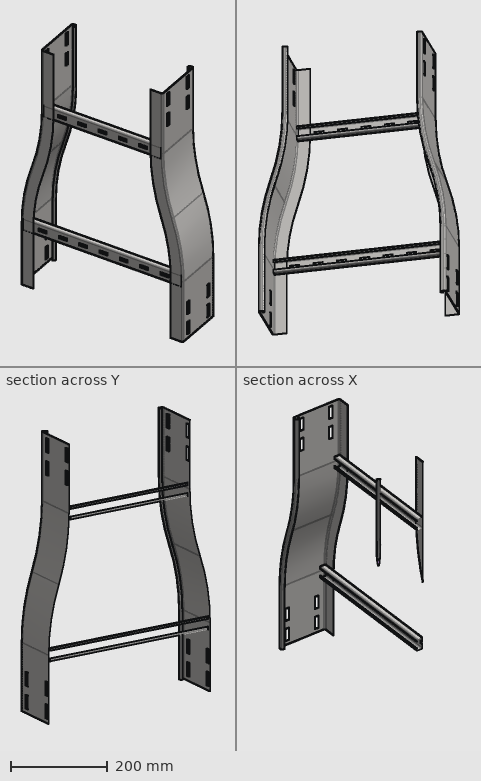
import cadquery as cq
import math


LENGTH = 600.0
DEPTH = 120.0
STRAIGHT = LENGTH / 4
OUTER_HALF_WIDTH_WIDE = LENGTH / 3
OUTER_HALF_WIDTH_NARROW = LENGTH / 4

SHEET = 2.0
RAIL_BEND = 4.0
FRONT_FLANGE = 30.5
BACK_FLANGE = 12.0
LIP = 10.0
LIP_RETURN = 5.0
LIP_BEND = 4.0

WEB_SLOT_WIDTH = 9.0
WEB_SLOT_LENGTH = 30.0
WEB_SLOT_Y = LENGTH / 16
WEB_SLOT_END_DISTANCES = (LENGTH / 24, LENGTH / 8)

RUNG_HEIGHT = 30.0
RUNG_SHEET = 1.5
RUNG_DEPTH = 15.0
RUNG_LIP = 6.5
RUNG_BEND = 2.1
RUNG_END_GAP = 5.5
RUNG_SLOT_LENGTH = 20.0
RUNG_SLOT_WIDTH = 6.0
RUNG_SLOT_PITCH = LENGTH / 12
WIDE_RUNG_SLOTS = 7
WIDE_RUNG_SLOT_SHIFT = 2.5
NARROW_RUNG_SLOTS = 5

FRONT = -DEPTH / 2
BACK = DEPTH / 2


def rail_path():
    """S-shaped line along the outer face of the left web, from bottom to top."""
    bottom = -OUTER_HALF_WIDTH_WIDE
    top = -OUTER_HALF_WIDTH_NARROW
    middle = (bottom + top) / 2
    half_rise = LENGTH / 2 - STRAIGHT
    half_shift = (top - bottom) / 2
    radius = (half_rise**2 + half_shift**2) / (2 * half_shift)
    half_angle = math.asin(half_rise / radius) / 2
    mid_shift = radius * (1 - math.cos(half_angle))
    mid_rise = radius * math.sin(half_angle)
    return (
        cq.Workplane("XZ")
        .moveTo(bottom, 0)
        .lineTo(bottom, STRAIGHT)
        .threePointArc((bottom + mid_shift, STRAIGHT + mid_rise), (middle, LENGTH / 2))
        .threePointArc((top - mid_shift, LENGTH - STRAIGHT - mid_rise), (top, LENGTH - STRAIGHT))
        .lineTo(top, LENGTH)
    )


def rail_section():
    """Channel section of the left rail at its bottom end, with rounded bends."""
    web = -OUTER_HALF_WIDTH_WIDE
    front_edge = web + FRONT_FLANGE
    back_edge = web + BACK_FLANGE
    lip_end = BACK - LIP
    rail_inner = RAIL_BEND - SHEET
    lip_inner = LIP_BEND - SHEET
    return (
        cq.Workplane("XY")
        .moveTo(front_edge, FRONT)
        .lineTo(web + RAIL_BEND, FRONT)
        .radiusArc((web, FRONT + RAIL_BEND), RAIL_BEND)
        .lineTo(web, BACK - RAIL_BEND)
        .radiusArc((web + RAIL_BEND, BACK), RAIL_BEND)
        .lineTo(back_edge - LIP_BEND, BACK)
        .radiusArc((back_edge, BACK - LIP_BEND), LIP_BEND)
        .lineTo(back_edge, lip_end + LIP_BEND)
        .radiusArc((back_edge - LIP_BEND, lip_end), LIP_BEND)
        .lineTo(back_edge - LIP_RETURN, lip_end)
        .lineTo(back_edge - LIP_RETURN, lip_end + SHEET)
        .lineTo(back_edge - LIP_BEND, lip_end + SHEET)
        .radiusArc((back_edge - SHEET, lip_end + LIP_BEND), -lip_inner)
        .lineTo(back_edge - SHEET, BACK - LIP_BEND)
        .radiusArc((back_edge - LIP_BEND, BACK - SHEET), -lip_inner)
        .lineTo(web + RAIL_BEND, BACK - SHEET)
        .radiusArc((web + SHEET, BACK - RAIL_BEND), -rail_inner)
        .lineTo(web + SHEET, FRONT + RAIL_BEND)
        .radiusArc((web + RAIL_BEND, FRONT + SHEET), -rail_inner)
        .lineTo(front_edge, FRONT + SHEET)
        .close()
    )


def web_slot_cutters():
    """Bars along X for the slots near both ends of a web."""
    heights = [*WEB_SLOT_END_DISTANCES, *(LENGTH - distance for distance in WEB_SLOT_END_DISTANCES)]
    places = [(y, z) for y in (-WEB_SLOT_Y, WEB_SLOT_Y) for z in heights]
    return (
        cq.Workplane("YZ")
        .pushPoints(places)
        .rect(WEB_SLOT_WIDTH, WEB_SLOT_LENGTH)
        .extrude(OUTER_HALF_WIDTH_WIDE, both=True)
    )


def make_left_rail():
    return rail_section().sweep(rail_path()).cut(web_slot_cutters())


def make_rung(outer_half_width, height, slot_count, slot_shift):
    """Lipped channel along X, open to the back, with a row of slots in its front wall."""
    half_length = outer_half_width - RUNG_END_GAP
    front = FRONT + SHEET
    middle_y = front + RUNG_DEPTH / 2
    outside = (
        cq.Workplane("XY")
        .box(2 * half_length, RUNG_DEPTH, RUNG_HEIGHT)
        .edges("|X")
        .fillet(RUNG_BEND)
    )
    inside = (
        cq.Workplane("XY")
        .box(2 * half_length, RUNG_DEPTH - 2 * RUNG_SHEET, RUNG_HEIGHT - 2 * RUNG_SHEET)
        .edges("|X")
        .fillet(RUNG_BEND - RUNG_SHEET)
    )
    back_opening = (
        cq.Workplane("XY")
        .box(2 * half_length, RUNG_DEPTH / 2, RUNG_HEIGHT - 2 * RUNG_LIP)
        .translate((0, RUNG_DEPTH / 2, 0))
    )
    slots = (
        cq.Workplane("XZ")
        .center(slot_shift, 0)
        .rarray(RUNG_SLOT_PITCH, 6, slot_count, 1)
        .rect(RUNG_SLOT_LENGTH, RUNG_SLOT_WIDTH)
        .extrude(RUNG_DEPTH)
    )
    return outside.cut(inside).cut(back_opening).cut(slots).translate((0, middle_y, height))


left_rail = make_left_rail()
right_rail = left_rail.mirror("YZ")
wide_rung = make_rung(OUTER_HALF_WIDTH_WIDE, STRAIGHT, WIDE_RUNG_SLOTS, WIDE_RUNG_SLOT_SHIFT)
narrow_rung = make_rung(OUTER_HALF_WIDTH_NARROW, LENGTH - STRAIGHT, NARROW_RUNG_SLOTS, 0)

result = cq.Compound.makeCompound(
    [left_rail.val(), right_rail.val(), wide_rung.val(), narrow_rung.val()]
)